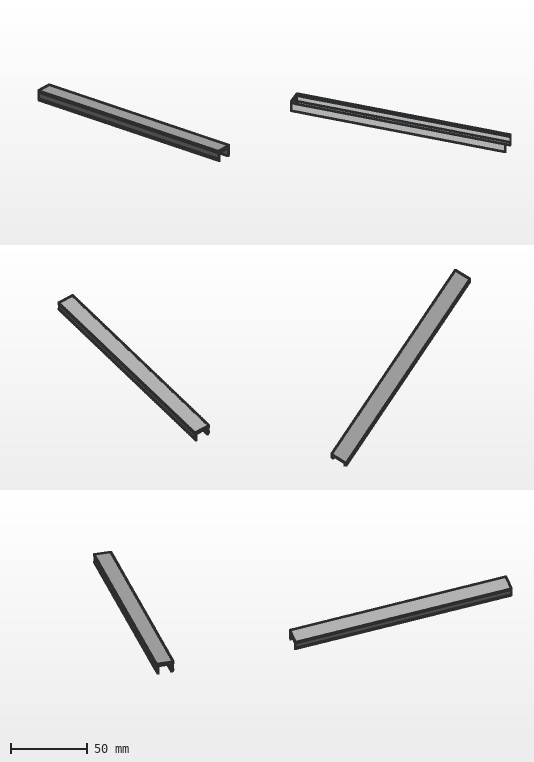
import cadquery as cq

length = 150.0
width = 11.5
height = 7.5

plate_thickness = 1.8
plate_edge_height = 1.0
lip_root_depth = 1.6

leg_inset = 0.38
leg_thickness = 0.98
foot_width = 0.5
hook_top_depth = 5.8

half_width = width / 2
top = height / 2
bottom = -top
leg_outer = half_width - leg_inset
leg_inner = leg_outer - leg_thickness
foot_outer = leg_inner + foot_width
hook_top = top - hook_top_depth

half_profile = [
    (0, top),
    (half_width, top),
    (half_width, top - plate_edge_height),
    (leg_outer, top - lip_root_depth),
    (leg_outer, hook_top),
    (half_width, hook_top),
    (foot_outer, bottom),
    (leg_inner, bottom),
    (leg_inner, top - plate_thickness),
    (0, top - plate_thickness),
]

half_channel = (
    cq.Workplane("YZ")
    .polyline(half_profile)
    .close()
    .extrude(length / 2, both=True)
)
result = half_channel.union(half_channel.mirror("XZ")).clean()